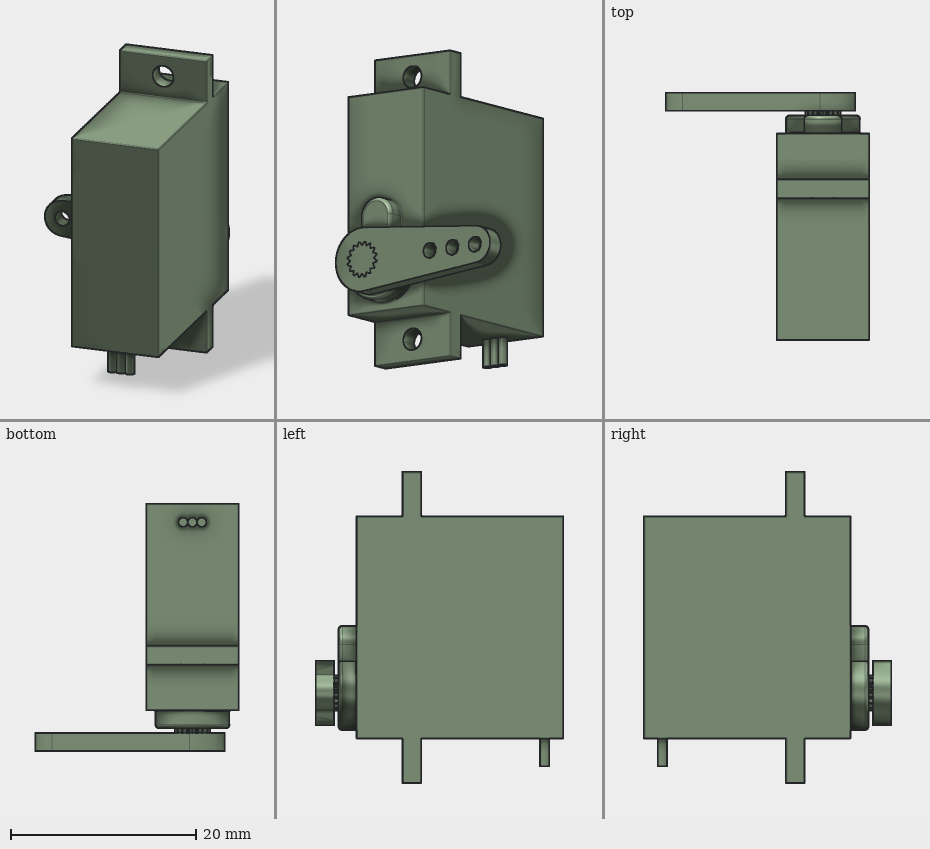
import cadquery as cq
import math


housing_width = 10.0
housing_depth = 22.3
housing_height = 24.0
housing_edge_radius = 0.1
overall_height = 33.6
axis_above_bottom = 4.9

ear_setback = 4.95
ear_thickness = 2.05
ear_length = (overall_height - housing_height) / 2
mounting_hole_diameter = 2.4

cover_height = 1.95
cover_radius = 4.0
cover_lobe_radius = 2.0
cover_lobe_offset = 5.25
cover_fillet = 0.45

spline_teeth = 16
spline_tip_radius = 1.95
spline_tip_width = 0.118
spline_root_radius = 1.58
horn_gap = 0.47

horn_thickness = 1.98
horn_hub_radius = 3.5
horn_tip_radius = 2.0
horn_length = 14.95
horn_hole_diameter = 1.65
horn_hole_pitch = 3.0
horn_hole_count = 3

wire_diameter = 1.0
wire_length = 3.0
wire_count = 3
wire_inset = 2.0

selection_margin = 0.05

housing_bottom = -axis_above_bottom
housing_top = housing_bottom + housing_height
housing_middle = (housing_bottom + housing_top) / 2
cover_top = cover_lobe_offset + cover_lobe_radius
horn_start = cover_height + horn_gap
horn_end = horn_start + horn_thickness


def plane_facing_output(y):
    """Sketch plane at height y: local x is +X, local y is -Z, and extrusion goes toward +Y."""
    return cq.Workplane(cq.Plane(origin=(0, y, 0), xDir=(1, 0, 0), normal=(0, 1, 0)))


def box_between(y_start, y_end, height):
    """Block of the housing width, centred on the middle height of the housing."""
    return cq.Workplane("XY").box(housing_width, y_end - y_start, height).translate(
        (0, (y_start + y_end) / 2, housing_middle)
    )


def polar_point(radius, angle):
    """Point at the given radius and angle around the shaft axis."""
    return (radius * math.cos(angle), radius * math.sin(angle))


def make_gear_cover():
    """Round cover around the shaft, with a narrower round-ended lobe above it."""
    base = plane_facing_output(0)
    main_disc = base.circle(cover_radius).extrude(cover_height)
    lobe_end = base.center(0, -cover_lobe_offset).circle(cover_lobe_radius).extrude(cover_height)
    lobe_neck = (
        base.center(0, -cover_lobe_offset / 2)
        .rect(2 * cover_lobe_radius, cover_lobe_offset)
        .extrude(cover_height)
    )
    cover = main_disc.union(lobe_neck).union(lobe_end).clean()
    return cover.faces(">Y").edges().fillet(cover_fillet)


def make_housing():
    """Case with two mounting ears and the gear cover on its output face."""
    case = box_between(-housing_depth, 0, housing_height)
    ears = box_between(-ear_setback - ear_thickness, -ear_setback, overall_height)
    housing = case.union(ears).edges().fillet(housing_edge_radius)

    for hole_z in (housing_bottom - ear_length / 2, housing_top + ear_length / 2):
        hole = (
            plane_facing_output(-ear_setback - ear_thickness)
            .center(0, -hole_z)
            .circle(mounting_hole_diameter / 2)
            .extrude(ear_thickness)
        )
        housing = housing.cut(hole)

    housing = housing.union(make_gear_cover())
    cover_foot = cq.selectors.BoxSelector(
        (-cover_radius - selection_margin, -selection_margin, -cover_radius - selection_margin),
        (cover_radius + selection_margin, selection_margin, cover_top + selection_margin),
    )
    return housing.edges(cover_foot).fillet(housing_edge_radius)


def make_shaft():
    """Splined shaft from the cover to the far face of the horn, with narrow flats on the tooth tips."""
    tooth_pitch = 2 * math.pi / spline_teeth
    tip_half_angle = math.asin(spline_tip_width / 2 / spline_tip_radius)
    outline = []
    for tooth in range(spline_teeth):
        root_angle = tooth * tooth_pitch
        tip_angle = root_angle + tooth_pitch / 2
        outline.append(polar_point(spline_root_radius, root_angle))
        outline.append(polar_point(spline_tip_radius, tip_angle - tip_half_angle))
        outline.append(polar_point(spline_tip_radius, tip_angle + tip_half_angle))
    return plane_facing_output(cover_height).polyline(outline).close().extrude(horn_end - cover_height)


def make_horn(shaft):
    """Tapered arm toward -X: straight flanks tangent to a hub arc and a smaller tip arc.

    The hub has a splined bore that fits the shaft.
    """
    flank_sine = (horn_hub_radius - horn_tip_radius) / horn_length
    flank_cosine = math.sqrt(1 - flank_sine**2)
    hub_x = -horn_hub_radius * flank_sine
    hub_y = horn_hub_radius * flank_cosine
    tip_x = -horn_length - horn_tip_radius * flank_sine
    tip_y = horn_tip_radius * flank_cosine
    horn = (
        plane_facing_output(horn_start)
        .moveTo(hub_x, hub_y)
        .threePointArc((horn_hub_radius, 0), (hub_x, -hub_y))
        .lineTo(tip_x, -tip_y)
        .threePointArc((-horn_length - horn_tip_radius, 0), (tip_x, tip_y))
        .close()
        .extrude(horn_thickness)
    )
    hole_centres = [(-horn_length + i * horn_hole_pitch, 0) for i in range(horn_hole_count)]
    holes = (
        plane_facing_output(horn_start)
        .pushPoints(hole_centres)
        .circle(horn_hole_diameter / 2)
        .extrude(horn_thickness)
    )
    return horn.cut(holes).cut(shaft)


def make_wire(x):
    """Stub of round wire hanging from the bottom of the housing."""
    return (
        cq.Workplane("XY", origin=(x, wire_inset - housing_depth, housing_bottom))
        .circle(wire_diameter / 2)
        .extrude(-wire_length)
    )


housing = make_housing()
shaft = make_shaft()
horn = make_horn(shaft)
wires = []
for index in range(wire_count):
    wire_x = (index - (wire_count - 1) / 2) * wire_diameter
    wires.append(make_wire(wire_x).val())

result = cq.Compound.makeCompound([housing.val(), shaft.val(), horn.val(), *wires])